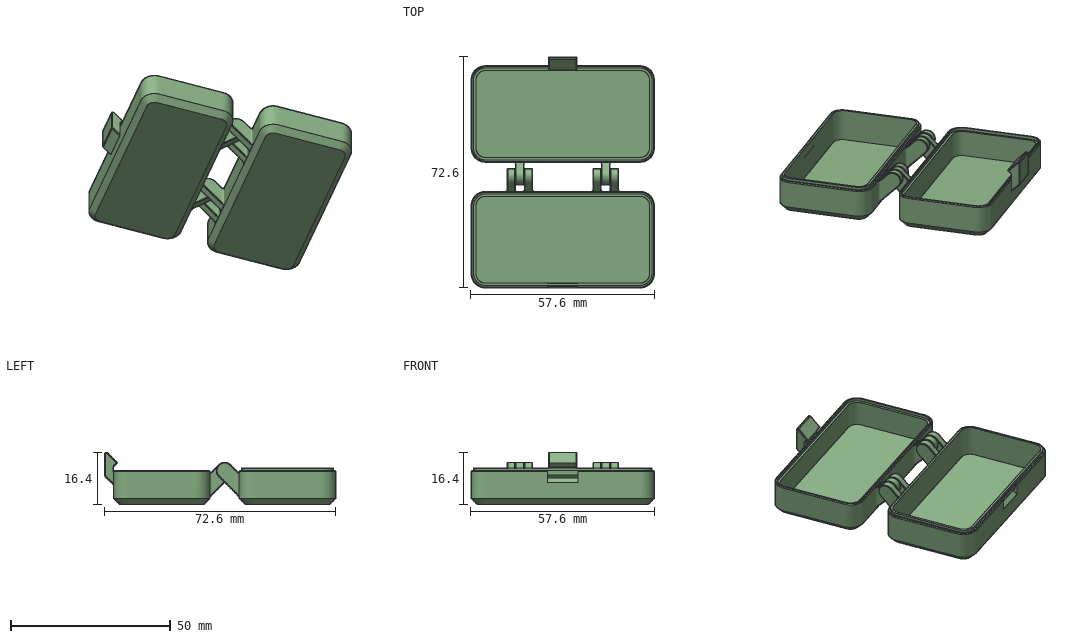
import cadquery as cq
import math

width = 57.6
overall_depth = 72.6
height = 10.7
wall = 1.5
floor_thickness = wall
corner_radius = 4.5
bottom_chamfer = 1.95
rim_chamfer = 0.3

lip_inset = 0.8
lip_height = 0.8
step_inset = 0.7
step_depth = 0.9

pivot_z = 10.7
wall_offset = 4.6
hinge_offset = 13.5
knuckle_radius = 2.6
hinge_width = 8.0
tongue_width = 2.7
tongue_gap = 0.1
root_radius = 0.5
root_embed = 0.7
arm_chamfer = 0.2

latch_width = 9.0
latch_thickness = 2.75
latch_top = 16.4
latch_tip_width = 0.8
latch_foot = 8.8
latch_root = 6.25
latch_chamfer = 0.3
hook_reach = 1.3

recess_width = 9.5
recess_depth = 0.5
notch_top = 9.4
notch_depth = 0.95

depth = (overall_depth - latch_thickness) / 2 - wall_offset
base_front_y = -wall_offset - depth
lid_front_y = wall_offset + depth
slot_width = tongue_width + 2 * tongue_gap
leaf_width = (hinge_width - slot_width) / 2
leaf_offset = (slot_width + leaf_width) / 2


def rounded_block(inset, z_bottom, z_top, side):
    """Rounded block inset from the outline of a half; side is -1 for the base, +1 for the lid."""
    middle_y = side * (wall_offset + depth / 2)
    return (
        cq.Workplane("XY", origin=(0, middle_y, z_bottom))
        .rect(width - 2 * inset, depth - 2 * inset)
        .extrude(z_top - z_bottom)
        .edges("|Z")
        .fillet(corner_radius - inset)
    )


def outer_shell(side):
    """Solid outer form of one half, with beveled bottom and rim edges."""
    return (
        rounded_block(0, 0, height, side)
        .faces("<Z").chamfer(bottom_chamfer)
        .faces(">Z").chamfer(rim_chamfer)
    )


def x_prism(points, prism_width):
    """Closed outline of (y, z) points extruded along X, centered on X = 0."""
    return (
        cq.Workplane("YZ")
        .polyline(points)
        .close()
        .extrude(prism_width / 2, both=True)
    )


def arm_blank(middle_x, arm_width, side):
    """Arm that falls at 45 degrees from the knuckle into the wall of one half."""
    tangent = knuckle_radius * math.sqrt(0.5)
    root_y = wall_offset + root_embed
    drop = knuckle_radius * math.sqrt(2)
    root_middle_z = pivot_z - root_y
    return (
        cq.Workplane("YZ", origin=(middle_x, 0, 0))
        .moveTo(side * tangent, pivot_z + tangent)
        .threePointArc(
            (-side * tangent, pivot_z + tangent),
            (-side * tangent, pivot_z - tangent),
        )
        .lineTo(side * root_y, root_middle_z - drop)
        .lineTo(side * root_y, root_middle_z + drop)
        .close()
        .extrude(arm_width / 2, both=True)
    )


def hinge_arm(middle_x, arm_width, side):
    """Hinge arm with beveled edges and a filleted root."""
    arm = arm_blank(middle_x, arm_width, side).faces("<X or >X").chamfer(arm_chamfer)
    embed_y = side * (wall_offset + root_embed)
    wall_y = side * wall_offset
    fillet_y = side * (wall_offset - root_radius)
    half_width = arm_width / 2
    wide = half_width + root_radius
    bend = root_radius * (1 - math.sqrt(0.5))
    bend_y = side * (wall_offset - bend)
    root_plan = (
        cq.Workplane("XY", origin=(middle_x, 0, 0))
        .moveTo(-wide, embed_y)
        .lineTo(-wide, wall_y)
        .threePointArc((-half_width - bend, bend_y), (-half_width, fillet_y))
        .lineTo(half_width, fillet_y)
        .threePointArc((half_width + bend, bend_y), (wide, wall_y))
        .lineTo(wide, embed_y)
        .close()
        .extrude(height)
    )
    root = arm_blank(middle_x, 2 * wide, side).intersect(root_plan)
    return arm.union(root)


def latch():
    """Latch with an inward hook, standing on the front wall of the lid."""
    outer_y = lid_front_y + latch_thickness
    top_y = outer_y - latch_tip_width
    tip_y = lid_front_y - hook_reach
    tip_z = latch_top - (top_y - tip_y)
    blank = x_prism(
        [
            (outer_y, latch_foot),
            (outer_y, latch_top),
            (top_y, latch_top),
            (tip_y, tip_z),
            (lid_front_y, tip_z - hook_reach),
            (lid_front_y, latch_root),
        ],
        latch_width,
    )
    side_edges = blank.faces("<X or >X").edges("(not |Z) or (|Z and >Y)")
    return side_edges.add(blank.edges("|X and >Y")).chamfer(latch_chamfer)


def latch_recess():
    """Shallow recess open at the rim, with a V notch that takes the hook."""
    recess_y = base_front_y + recess_depth
    notch_y = recess_y + notch_depth
    notch_z = notch_top - notch_depth
    return x_prism(
        [
            (base_front_y, height),
            (recess_y, height),
            (recess_y, notch_top),
            (notch_y, notch_z),
            (base_front_y, notch_z - notch_depth - recess_depth),
        ],
        recess_width,
    )


def make_base():
    rim_z = height + lip_height
    base = outer_shell(-1).union(rounded_block(lip_inset, floor_thickness, rim_z, -1))
    for hinge_x in (-hinge_offset, hinge_offset):
        for leaf_x in (hinge_x - leaf_offset, hinge_x + leaf_offset):
            base = base.union(hinge_arm(leaf_x, leaf_width, -1))
    return base.cut(rounded_block(wall, floor_thickness, rim_z, -1)).cut(latch_recess())


def make_lid():
    lid = outer_shell(1)
    lid = lid.cut(rounded_block(wall, floor_thickness, height, 1))
    lid = lid.cut(rounded_block(step_inset, height - step_depth, height, 1))
    for hinge_x in (-hinge_offset, hinge_offset):
        lid = lid.union(hinge_arm(hinge_x, tongue_width, 1))
    return lid.union(latch())


base = make_base()
lid = make_lid()
result = cq.Compound.makeCompound([base.solids().val(), lid.solids().val()])